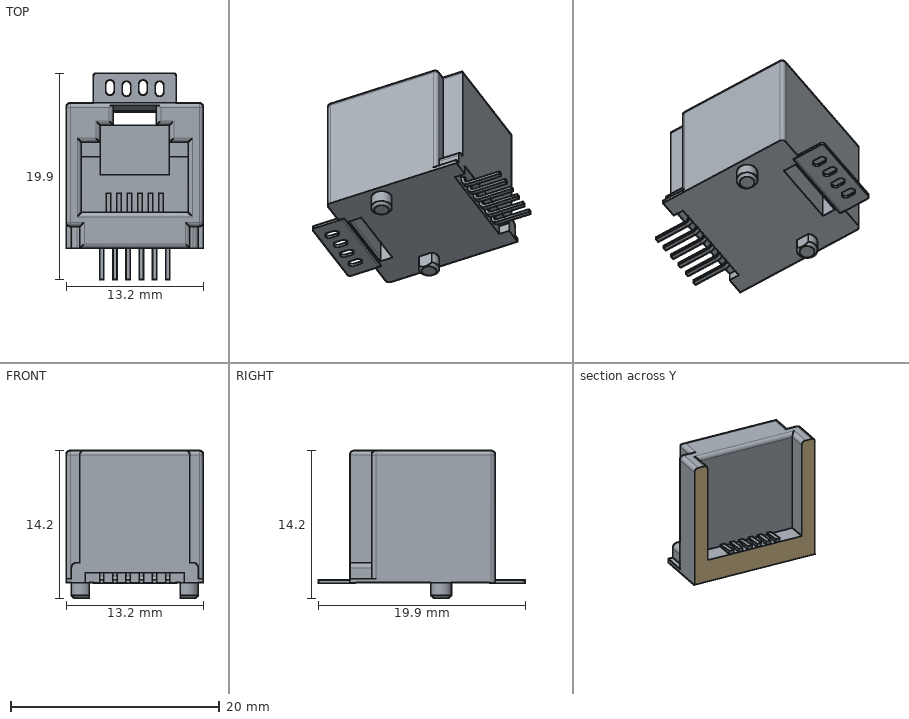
import cadquery as cq


OVERALL_DEPTH = 19.85

BODY_WIDTH = 13.2
BODY_DEPTH = 13.97
BODY_HEIGHT = 12.7
EDGE_RADIUS = 0.42
TONGUE_HALF_WIDTH = 5.28
SHOULDER_DEPTH = 2.08
FLANGE_THICKNESS = 0.4
FOOT_HALF_WIDTH = 6.1
FOOT_HEIGHT = 1.93
FOOT_RADIUS = 0.52

CAVITY_HALF_WIDTH = 5.12
CAVITY_FRONT = 3.45
CAVITY_BACK = 10.18
CHANNEL_HALF_WIDTH = 3.33
CHANNEL_BACK = 11.83
CAVITY_FLOOR = 2.38
SIDE_LEDGE_FRONT = 8.81
SIDE_LEDGE_HEIGHT = 0.2
BLOCK_FRONT = 7.09
BLOCK_HEIGHT = 1.0

NOTCH_HALF_WIDTH = 2.06
NOTCH_TOP_BACK = 13.74
WINDOW_BACK = 13.2
WINDOW_TOP = BODY_HEIGHT - 2.25

CONTACT_COUNT = 6
CONTACT_PITCH = 1.01
CONTACT_WIDTH = 0.45
CONTACT_BACK = 5.3
CONTACT_FRONT_HEIGHT = 0.2
CONTACT_BACK_HEIGHT = 0.35

METAL_THICKNESS = 0.32
METAL_BOTTOM = -0.05
PIN_PITCH = 1.27
PIN_WIDTH = 0.42
PIN_TIP = 3.02
PIN_BEND_START = 0.35
PIN_BEND_RADIUS = 0.4
PIN_SLOT_HALF_WIDTH = 4.76
PIN_SLOT_HEIGHT = 0.97
TAB_WIDTH = 7.98
TAB_END = OVERALL_DEPTH - PIN_TIP
TAB_CORNER_RADIUS = 0.28
TAB_BEND_START = 13.6
TAB_BEND_RADIUS = 0.2
TAB_TOP = 6.2

SLOT_COUNT = 4
SLOT_PITCH = 1.59
SLOT_WIDTH = 0.8
SLOT_LENGTH = 1.43
SLOT_Y = 15.38
SLOT_STAGGER = 0.05

PEG_DIAMETER = 2.0
PEG_LENGTH = 1.5
PEG_CHAMFER = 0.3
PEG_X = 5.12
PEG_Y = 8.77
PEG_FLAT_X = 4.37


def block(x0, x1, y0, y1, z0, z1):
    """Box between two opposite corners."""
    return cq.Workplane("XY").box(x1 - x0, y1 - y0, z1 - z0, centered=False).translate((x0, y0, z0))


def centred_block(half_width, y0, y1, z0, z1):
    """Box symmetric about x = 0."""
    return block(-half_width, half_width, y0, y1, z0, z1)


def row(count, pitch):
    """Positions of evenly spaced items centred on zero."""
    return [(i - (count - 1) / 2) * pitch for i in range(count)]


def extrude_along_x(profile, x_centre, width):
    """Extrude a YZ profile by width, centred on x_centre."""
    return profile.extrude(width / 2, both=True).translate((x_centre, 0, 0))


def rounded_shell():
    """Housing with a narrower front tongue, the open cavity and rounded top edges."""
    half_width = BODY_WIDTH / 2
    shell = centred_block(half_width, SHOULDER_DEPTH, BODY_DEPTH, 0, BODY_HEIGHT)
    shell = shell.edges("|Z").fillet(EDGE_RADIUS)
    shell = shell.union(centred_block(TONGUE_HALF_WIDTH, 0, CAVITY_FRONT, 0, BODY_HEIGHT))
    cavity = centred_block(CAVITY_HALF_WIDTH, CAVITY_FRONT, CAVITY_BACK, CAVITY_FLOOR, BODY_HEIGHT)
    channel = centred_block(CHANNEL_HALF_WIDTH, CAVITY_FRONT, CHANNEL_BACK, CAVITY_FLOOR, BODY_HEIGHT)
    shell = shell.cut(cavity.union(channel))
    return shell.faces(">Z").edges().fillet(EDGE_RADIUS)


def latch_notch():
    """Notch with rounded upper lips, closed at the back by a sloping wall."""
    lip = NOTCH_HALF_WIDTH + EDGE_RADIUS
    lip_bottom = BODY_HEIGHT - EDGE_RADIUS
    notch = (
        cq.Workplane("XZ")
        .moveTo(-NOTCH_HALF_WIDTH, WINDOW_TOP)
        .lineTo(-NOTCH_HALF_WIDTH, lip_bottom)
        .radiusArc((-lip, BODY_HEIGHT), -EDGE_RADIUS)
        .lineTo(lip, BODY_HEIGHT)
        .radiusArc((NOTCH_HALF_WIDTH, lip_bottom), -EDGE_RADIUS)
        .lineTo(NOTCH_HALF_WIDTH, WINDOW_TOP)
        .close()
        .extrude(-BODY_DEPTH)
    )
    notch_front = CHANNEL_BACK - EDGE_RADIUS
    side = cq.Workplane("YZ").polyline([
        (notch_front, WINDOW_TOP),
        (WINDOW_BACK, WINDOW_TOP),
        (NOTCH_TOP_BACK, BODY_HEIGHT),
        (notch_front, BODY_HEIGHT),
    ]).close()
    return notch.intersect(extrude_along_x(side, 0, BODY_WIDTH))


def housing():
    """Rounded shell with its notch, window, floor steps, lead slot and front feet."""
    body = rounded_shell().cut(latch_notch())
    body = body.cut(centred_block(CHANNEL_HALF_WIDTH, CHANNEL_BACK, WINDOW_BACK, 0, WINDOW_TOP))

    ledge_top = CAVITY_FLOOR + SIDE_LEDGE_HEIGHT
    block_top = CAVITY_FLOOR + BLOCK_HEIGHT
    ledge = centred_block(CAVITY_HALF_WIDTH, SIDE_LEDGE_FRONT, CAVITY_BACK, CAVITY_FLOOR, ledge_top)
    floor_block = centred_block(CHANNEL_HALF_WIDTH, BLOCK_FRONT, CHANNEL_BACK, CAVITY_FLOOR, block_top)
    body = body.union(ledge).union(floor_block)

    foot_back = SHOULDER_DEPTH + EDGE_RADIUS
    foot = centred_block(FOOT_HALF_WIDTH, 0, foot_back, 0, FOOT_HEIGHT)
    foot = foot.edges("|Y and >Z").fillet(FOOT_RADIUS)
    flange = centred_block(BODY_WIDTH / 2, 0, foot_back, 0, FLANGE_THICKNESS)
    body = body.union(foot).union(flange)

    pin_slot_depth = PIN_BEND_START + PIN_BEND_RADIUS + METAL_THICKNESS
    return body.cut(centred_block(PIN_SLOT_HALF_WIDTH, 0, pin_slot_depth, 0, PIN_SLOT_HEIGHT))


def contact(x):
    """Rib on the cavity floor whose top falls slightly toward the front wall."""
    profile = cq.Workplane("YZ").polyline([
        (CAVITY_FRONT, CAVITY_FLOOR),
        (CAVITY_FRONT, CAVITY_FLOOR + CONTACT_FRONT_HEIGHT),
        (CONTACT_BACK, CAVITY_FLOOR + CONTACT_BACK_HEIGHT),
        (CONTACT_BACK, CAVITY_FLOOR),
    ]).close()
    return extrude_along_x(profile, x, CONTACT_WIDTH)


def bent_strip(tip_y, bend_y, inner_radius, top_z):
    """YZ profile of a strip lying flat from tip_y to bend_y, then turning upward to top_z."""
    inward = 1 if bend_y > tip_y else -1
    flat_top = METAL_BOTTOM + METAL_THICKNESS
    outer_radius = inner_radius + METAL_THICKNESS
    bend_top = flat_top + inner_radius
    near_face = bend_y + inward * inner_radius
    far_face = bend_y + inward * outer_radius
    return (
        cq.Workplane("YZ")
        .moveTo(tip_y, METAL_BOTTOM)
        .lineTo(bend_y, METAL_BOTTOM)
        .radiusArc((far_face, bend_top), -inward * outer_radius)
        .lineTo(far_face, top_z)
        .lineTo(near_face, top_z)
        .lineTo(near_face, bend_top)
        .radiusArc((bend_y, flat_top), inward * inner_radius)
        .lineTo(tip_y, flat_top)
        .close()
    )


def pin(x):
    """Surface-mount lead that bends up into the housing."""
    profile = bent_strip(-PIN_TIP, PIN_BEND_START, PIN_BEND_RADIUS, CAVITY_FLOOR)
    return extrude_along_x(profile, x, PIN_WIDTH)


def shield_tab():
    """Slotted solder tab that bends up along the back of the window."""
    profile = bent_strip(TAB_END, TAB_BEND_START, TAB_BEND_RADIUS, TAB_TOP)
    tab = extrude_along_x(profile, 0, TAB_WIDTH)
    tab = tab.faces(">Y").edges("|Z").fillet(TAB_CORNER_RADIUS)
    for i, x in enumerate(row(SLOT_COUNT, SLOT_PITCH)):
        y = SLOT_Y + SLOT_STAGGER * (-1) ** i
        slot = (
            cq.Workplane("XY", origin=(x, y, METAL_BOTTOM))
            .slot2D(SLOT_LENGTH, SLOT_WIDTH, 90)
            .extrude(METAL_THICKNESS)
        )
        tab = tab.cut(slot)
    return tab


def peg(side):
    """Chamfered locating peg with a flat on its inner side; side is -1 or 1."""
    radius = PEG_DIAMETER / 2
    post = cq.Workplane("XY").circle(radius).extrude(-PEG_LENGTH)
    post = post.faces("<Z").chamfer(PEG_CHAMFER).translate((PEG_X, PEG_Y, 0))
    kept = block(PEG_FLAT_X, PEG_X + radius, PEG_Y - radius, PEG_Y + radius, -PEG_LENGTH, 0)
    post = post.intersect(kept)
    return post if side > 0 else post.mirror("YZ")


result = housing().union(shield_tab())
for contact_x in row(CONTACT_COUNT, CONTACT_PITCH):
    result = result.union(contact(contact_x))
for pin_x in row(CONTACT_COUNT, PIN_PITCH):
    result = result.union(pin(pin_x))
for peg_side in (-1, 1):
    result = result.union(peg(peg_side))